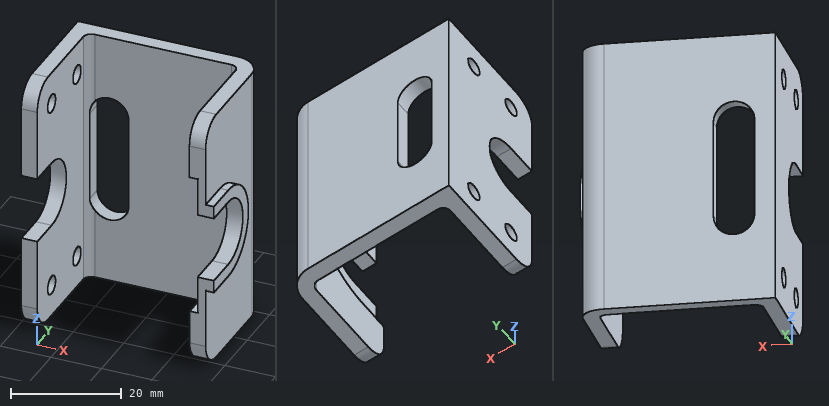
import cadquery as cq

height = 50.8
depth = 25.4
thickness = 3.2
boss_height = 1.65
body_width = 38.1 - boss_height
bend_inner_radius = 1.6
bend_outer_radius = bend_inner_radius + thickness
flange_corner_radius = 4.85

window_width = 7.55
window_height = 25.4
window_center_x = 7.65

notch_width = 13.0
notch_center_y = 6.5
boss_width = 18.0
recess_width = 28.0
recess_depth = 1.65

hole_diameter = 3.55
hole_rows_y = (6.4, 17.8)
hole_edge_distance = 6.4

mid_z = height / 2


def open_slot(width, x_start, length):
    """Round-ended slot solid, open at the front, running along +X from x_start."""
    radius = width / 2
    return (
        cq.Workplane("YZ", origin=(x_start, 0, mid_z))
        .moveTo(0, -radius)
        .lineTo(notch_center_y, -radius)
        .threePointArc((notch_center_y + radius, 0), (notch_center_y, radius))
        .lineTo(0, radius)
        .close()
        .extrude(length)
    )


def channel():
    """U-shaped channel with one sharp and one rounded outer back corner."""
    block = cq.Workplane("XY").box(body_width, depth, height, centered=False)
    block = block.edges("|Z and >X and >Y").fillet(bend_outer_radius)
    cavity = (
        cq.Workplane("XY", origin=(thickness, 0, 0))
        .box(body_width - 2 * thickness, depth - thickness, height, centered=False)
        .edges("|Z and >Y")
        .fillet(bend_inner_radius)
    )
    return block.cut(cavity).edges("|X and <Y").fillet(flange_corner_radius)


def web_window():
    return (
        cq.Workplane("XZ", origin=(window_center_x, depth, mid_z))
        .slot2D(window_height, window_width, 90)
        .extrude(thickness + bend_inner_radius)
    )


def mounting_holes():
    centers = [(y, z) for y in hole_rows_y for z in (hole_edge_distance, height - hole_edge_distance)]
    return cq.Workplane("YZ").pushPoints(centers).circle(hole_diameter / 2).extrude(thickness)


boss = open_slot(boss_width, body_width, boss_height)
recess = open_slot(recess_width, body_width - thickness, recess_depth)
shaft_notch = open_slot(notch_width, 0, body_width + boss_height)

result = (
    channel()
    .union(boss)
    .cut(recess)
    .cut(shaft_notch)
    .cut(web_window())
    .cut(mounting_holes())
)